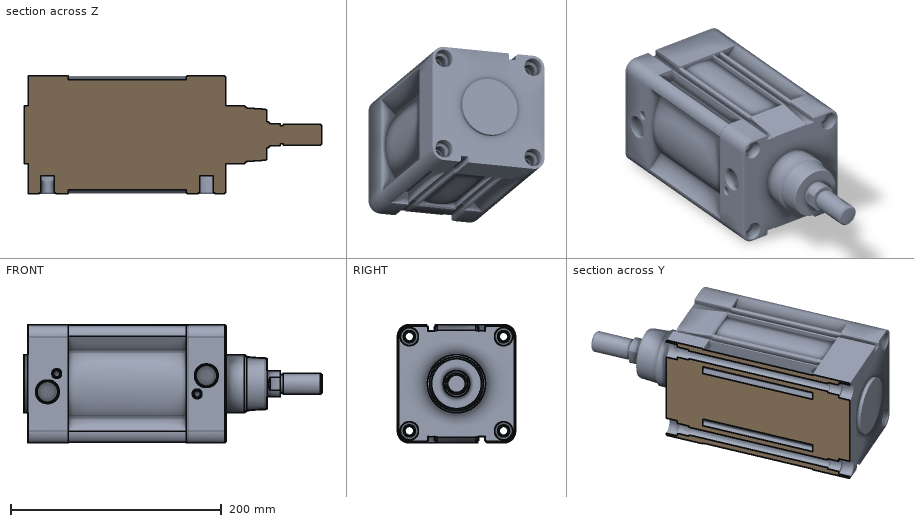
import cadquery as cq
import math

LENGTH = 283.0
REAR_FACE_X = 3.7
TUBE_START_X = 42.2
TUBE_END_X = 154.0
FRONT_FACE_X = 192.0
GLAND_CONE_X = 209.0
GLAND_TAPER_X = 211.7
GLAND_END_X = 231.0
FLATS_START_X = 232.0
FLATS_END_X = 243.5
THREAD_START_X = 246.0

SIDE = 112.0
HALF = SIDE / 2
CORNER_RADIUS = 11.3
EDGE_CHAMFER = 1.5
BEVEL_LENGTH = 1.7
BEVEL_DEPTH = 0.3

TUBE_RADIUS = 52.4
BAR_CORNER_RADIUS = 10.5
BAR_INSET = 0.3
BAR_ROOT_FILLET = 1.7
RAIL_ROOT_FILLET = 3.5
RAIL_INNER_Y = 18.0
RAIL_OUTER_Y = 29.1
RAIL_TOP_Z = 54.5
SLOT_FLOOR_Z = 49.0
SLOT_INSET = 0.5
SLOT_MOUTH_BEVEL = 1.0

CHANNEL_INNER_Y = 20.5
CHANNEL_OUTER_Y = 27.5
CHANNEL_DEPTH = 6.0
CHANNEL_LIP_BEVEL = 1.7
CHANNEL_FLOOR_Z = HALF - CHANNEL_DEPTH
PAD_HALF_WIDTH = 20.0
PAD_FRONT_HEIGHT = 0.5
PAD_CHAMFER = 1.7

BOLT_OFFSET = 44.7
BOLT_BORE_DIAMETER = 8.5
BOLT_SOCKET_DIAMETER = 11.3
BOLT_RECESS_DIAMETER = 17.3
BOLT_RECESS_DEPTH = 11.3
BOLT_SOCKET_DEPTH = 22.5

PORT_DIAMETER = 19.8
PORT_MOUTH_DIAMETER = 22.4
PORT_DEPTH = 17.0
PORT_INSET = 18.7
PORT_Z = 7.5
SCREW_DIAMETER = 6.2
SCREW_MOUTH_DIAMETER = 9.0
SCREW_DEPTH = 8.5
SCREW_POINT_LENGTH = 2.0
SCREW_INSET = 27.5
SCREW_Z = 9.5

BOSS_DIAMETER = 55.2
GLAND_CONE_DIAMETER = 51.2
GLAND_END_DIAMETER = 49.0
GLAND_CHAMFER_LENGTH = 2.3
GLAND_CHAMFER_DEPTH = 0.8
ROD_DIAMETER = 25.0
ROD_FLATS_WIDTH = 21.5
NECK_DIAMETER = 17.8
THREAD_DIAMETER = 20.0
TIP_CHAMFER = 1.7


def top_and_bottom(shape):
    """The shape together with its half-turn copy about the X axis."""
    return shape.union(shape.rotate((0, 0, 0), (1, 0, 0), 180))


def rear_channel():
    """Sensor slot in the top of the rear cap, with one bevelled lip."""
    return (
        cq.Workplane("YZ", origin=(REAR_FACE_X, 0, 0))
        .moveTo(-CHANNEL_INNER_Y, HALF)
        .lineTo(-CHANNEL_INNER_Y, CHANNEL_FLOOR_Z)
        .lineTo(-CHANNEL_OUTER_Y, CHANNEL_FLOOR_Z)
        .lineTo(-CHANNEL_OUTER_Y, HALF - CHANNEL_LIP_BEVEL)
        .lineTo(-CHANNEL_OUTER_Y - CHANNEL_LIP_BEVEL, HALF)
        .close()
        .extrude(TUBE_START_X - REAR_FACE_X)
    )


def rear_cap():
    cap = (
        cq.Workplane("YZ", origin=(REAR_FACE_X, 0, 0))
        .rect(SIDE, SIDE)
        .extrude(TUBE_START_X - REAR_FACE_X)
        .edges("|X")
        .fillet(CORNER_RADIUS)
    )
    return cap.cut(top_and_bottom(rear_channel()))


def ramp_pad():
    """Wedge between the front channels, falling towards the front, with chamfered sides."""
    pad_root_z = CHANNEL_FLOOR_Z - PAD_FRONT_HEIGHT
    return (
        cq.Workplane("XZ", origin=(0, PAD_HALF_WIDTH, 0))
        .moveTo(TUBE_END_X, pad_root_z)
        .lineTo(FRONT_FACE_X, pad_root_z)
        .lineTo(FRONT_FACE_X, CHANNEL_FLOOR_Z + PAD_FRONT_HEIGHT)
        .lineTo(TUBE_END_X, HALF)
        .close()
        .extrude(2 * PAD_HALF_WIDTH)
        .faces(">Z")
        .edges("not >X")
        .chamfer(PAD_CHAMFER)
    )


def front_relief():
    """Recess across the top of the front cap, with bevelled edges on both sides."""
    lip_y = CHANNEL_OUTER_Y + CHANNEL_LIP_BEVEL
    lip_z = HALF - CHANNEL_LIP_BEVEL
    return (
        cq.Workplane("YZ", origin=(TUBE_END_X, 0, 0))
        .moveTo(-lip_y, HALF)
        .lineTo(-CHANNEL_OUTER_Y, lip_z)
        .lineTo(-CHANNEL_OUTER_Y, CHANNEL_FLOOR_Z)
        .lineTo(CHANNEL_OUTER_Y, CHANNEL_FLOOR_Z)
        .lineTo(CHANNEL_OUTER_Y, lip_z)
        .lineTo(lip_y, HALF)
        .close()
        .extrude(FRONT_FACE_X - TUBE_END_X)
    )


def front_cap():
    cap = (
        cq.Workplane("YZ", origin=(TUBE_END_X, 0, 0))
        .rect(SIDE, SIDE)
        .extrude(FRONT_FACE_X - TUBE_END_X)
        .edges("|X")
        .fillet(CORNER_RADIUS)
        .faces(">X")
        .chamfer(EDGE_CHAMFER)
        .faces("<X")
        .chamfer(BEVEL_LENGTH, BEVEL_DEPTH)
    )
    return cap.cut(top_and_bottom(front_relief())).union(top_and_bottom(ramp_pad()))


def corner_bar():
    """Bar with a rounded outer corner and sides that run inwards at 45 degrees."""
    bar_half = HALF - BAR_INSET
    tangent = bar_half - BAR_CORNER_RADIUS
    middle = tangent + BAR_CORNER_RADIUS * math.sqrt(0.5)
    root = TUBE_RADIUS / 2
    return (
        cq.Workplane("YZ", origin=(TUBE_START_X, 0, 0))
        .moveTo(bar_half, tangent)
        .threePointArc((middle, middle), (tangent, bar_half))
        .lineTo(root, root + BAR_CORNER_RADIUS)
        .lineTo(root + BAR_CORNER_RADIUS, root)
        .close()
        .extrude(TUBE_END_X - TUBE_START_X)
    )


def is_bar_root(edge):
    """True for the lengthwise edges where a corner bar meets the round tube."""
    center = edge.Center()
    on_tube = abs(math.hypot(center.y, center.z) - TUBE_RADIUS) < BAR_INSET
    return on_tube and min(abs(center.y), abs(center.z)) > TUBE_RADIUS / 2


def is_rail_side_root(edge):
    """True for the bar roots nearest to the top and bottom rails."""
    center = edge.Center()
    return is_bar_root(edge) and abs(center.z) > abs(center.y)


def slotted_rail(side):
    """Slotted rail on the top of the tube, on the +Y or -Y side."""
    slot_inner_y = CHANNEL_INNER_Y + SLOT_INSET
    slot_outer_y = CHANNEL_OUTER_Y - SLOT_INSET
    mouth_z = RAIL_TOP_Z - SLOT_MOUTH_BEVEL
    return (
        cq.Workplane("YZ", origin=(TUBE_START_X, 0, 0))
        .moveTo(side * RAIL_INNER_Y, 0)
        .lineTo(side * RAIL_INNER_Y, RAIL_TOP_Z)
        .lineTo(side * (slot_inner_y - SLOT_MOUTH_BEVEL), RAIL_TOP_Z)
        .lineTo(side * slot_inner_y, mouth_z)
        .lineTo(side * slot_inner_y, SLOT_FLOOR_Z)
        .lineTo(side * slot_outer_y, SLOT_FLOOR_Z)
        .lineTo(side * slot_outer_y, mouth_z)
        .lineTo(side * (slot_outer_y + SLOT_MOUTH_BEVEL), RAIL_TOP_Z)
        .lineTo(side * RAIL_OUTER_Y, RAIL_TOP_Z)
        .lineTo(side * RAIL_OUTER_Y, 0)
        .close()
        .extrude(TUBE_END_X - TUBE_START_X)
    )


def tube():
    """Round tube with four corner bars and slotted sensor rails at top and bottom."""
    body = cq.Workplane("YZ", origin=(TUBE_START_X, 0, 0)).circle(TUBE_RADIUS)
    body = body.extrude(TUBE_END_X - TUBE_START_X)
    for angle in (0, 90, 180, 270):
        body = body.union(corner_bar().rotate((0, 0, 0), (1, 0, 0), angle))
    body = body.edges("|X").filter(is_rail_side_root).fillet(RAIL_ROOT_FILLET)
    body = body.edges("|X").filter(is_bar_root).fillet(BAR_ROOT_FILLET)
    for side in (-1, 1):
        body = body.union(top_and_bottom(slotted_rail(side)))
    return body


def wrench_flat(side):
    """Cutter for the flat on the +Y or -Y side of the rod, with a 45 degree run-in."""
    flat_y = ROD_FLATS_WIDTH / 2
    rod_y = ROD_DIAMETER / 2
    return (
        cq.Workplane("XY", origin=(0, 0, -rod_y))
        .moveTo(FLATS_START_X, side * rod_y)
        .lineTo(FLATS_START_X + rod_y - flat_y, side * flat_y)
        .lineTo(FLATS_END_X, side * flat_y)
        .lineTo(FLATS_END_X, side * rod_y)
        .close()
        .extrude(ROD_DIAMETER)
    )


def boss_gland_and_rod():
    """Rear centring boss, front gland and piston rod, all turned about X."""
    rod_radius = ROD_DIAMETER / 2
    thread_radius = THREAD_DIAMETER / 2
    turned = (
        cq.Workplane("XY")
        .moveTo(0, 0)
        .lineTo(0, BOSS_DIAMETER / 2)
        .lineTo(GLAND_CONE_X, BOSS_DIAMETER / 2)
        .lineTo(GLAND_TAPER_X, GLAND_CONE_DIAMETER / 2)
        .lineTo(GLAND_END_X - GLAND_CHAMFER_LENGTH, GLAND_END_DIAMETER / 2)
        .lineTo(GLAND_END_X, GLAND_END_DIAMETER / 2 - GLAND_CHAMFER_DEPTH)
        .lineTo(GLAND_END_X, rod_radius)
        .lineTo(FLATS_END_X, rod_radius)
        .lineTo(FLATS_END_X, NECK_DIAMETER / 2)
        .lineTo(THREAD_START_X, NECK_DIAMETER / 2)
        .lineTo(THREAD_START_X, thread_radius)
        .lineTo(LENGTH - TIP_CHAMFER, thread_radius)
        .lineTo(LENGTH, thread_radius - TIP_CHAMFER)
        .lineTo(LENGTH, 0)
        .close()
        .revolve(360, (0, 0, 0), (1, 0, 0))
    )
    return turned.cut(wrench_flat(1)).cut(wrench_flat(-1))


def bolt_holes():
    """Through bores at the corners, stepped out at both ends for the tie rod nuts."""
    steps = (
        (BOLT_BORE_DIAMETER, (FRONT_FACE_X - REAR_FACE_X) / 2),
        (BOLT_SOCKET_DIAMETER, BOLT_SOCKET_DEPTH),
        (BOLT_RECESS_DIAMETER, BOLT_RECESS_DEPTH),
    )
    holes = cq.Workplane("YZ")
    for diameter, depth in steps:
        for start_x in (REAR_FACE_X, FRONT_FACE_X - depth):
            cylinders = (
                cq.Workplane("YZ", origin=(start_x, 0, 0))
                .rect(2 * BOLT_OFFSET, 2 * BOLT_OFFSET, forConstruction=True)
                .vertices()
                .circle(diameter / 2)
                .extrude(depth)
            )
            holes = holes.union(cylinders)
    return holes


def side_hole(x, z, diameter, mouth_diameter, depth, point_length=0):
    """Blind hole entering from the -Y side, with a 45 degree mouth and an optional conical end."""
    mouth_radius = mouth_diameter / 2
    radius = diameter / 2
    mouth_y = -HALF + mouth_radius - radius
    floor_y = -HALF + depth
    return (
        cq.Workplane("XY")
        .moveTo(0, -HALF)
        .lineTo(mouth_radius, -HALF)
        .lineTo(radius, mouth_y)
        .lineTo(radius, floor_y)
        .lineTo(0, floor_y + point_length)
        .close()
        .revolve(360, (0, 0, 0), (0, 1, 0))
        .translate((x, 0, z))
    )


body = rear_cap().union(tube()).union(front_cap()).union(boss_gland_and_rod())
body = body.cut(bolt_holes())
for face_x, inward in ((REAR_FACE_X, 1), (FRONT_FACE_X, -1)):
    port_x = face_x + inward * PORT_INSET
    screw_x = face_x + inward * SCREW_INSET
    port = side_hole(port_x, -inward * PORT_Z, PORT_DIAMETER, PORT_MOUTH_DIAMETER, PORT_DEPTH)
    screw_z = inward * SCREW_Z
    screw = side_hole(
        screw_x, screw_z, SCREW_DIAMETER, SCREW_MOUTH_DIAMETER, SCREW_DEPTH, SCREW_POINT_LENGTH
    )
    body = body.cut(port).cut(screw)

result = body